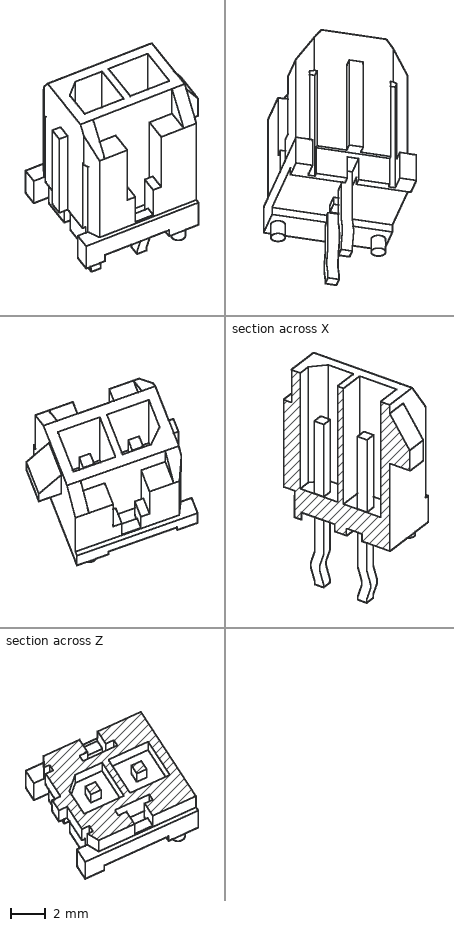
import cadquery as cq


shroud_top = 9.88
shroud_width = 6.64
shroud_depth = 6.86
top_width = 3.87
shoulder_z = 7.9
corner_x = 2.34
corner_depth = 0.49

base_height = 1.78
base_width = 7.15
foot_overhang = 0.54
foot_depth = 0.71
rear_foot_depth = 1.95
standoff = 0.49
front_setback = 0.21
tab_size = 0.84

rib_width = 0.84
rib_top = 7.68
slot_inner_x = 2.19
slot_outer_x = 2.59
slot_top = 6.99
slot_depth = 0.49

pitch = 3.0
pin_width = 0.67
leg_thickness = 0.63
leg_length = 4.04
pin_top = 6.96
pin_slot_top = 1.46
bend_start_z = -1.84
bend_height = 1.96
bulge = 0.28
bulge_arc_height = 0.5
arc_start_shift = 0.24

cavity_size = 2.58
cavity_floor = 2.09
key_chamfer = 0.82

shoulder_end = 0.84
pocket_width = 2.23
pocket_floor = 3.91
groove_width = 1.17
groove_ledge_z = 1.92
groove_floor = 1.46
groove_deep_x = 2.71
channel_outer_x = 2.32

latch_width = 2.06
latch_reach = 1.39
latch_bottom = 5.9
latch_nose_z = 7.3
latch_top = 9.3

peg_radius = 0.42
peg_x = 2.98
peg_y = 5.86
peg_length = 0.88

mid_y = shroud_depth / 2
pin_ys = (mid_y - pitch / 2, mid_y + pitch / 2)


def block(x, y, z):
    """Box given by its (min, max) range along each axis."""
    size = [limit[1] - limit[0] for limit in (x, y, z)]
    return cq.Workplane("XY").box(*size, centered=False).translate((x[0], y[0], z[0]))


def both_sides(part):
    """The part together with its mirror image across X = 0."""
    return part.union(part.mirror("YZ"))


def centred(middle, width):
    """Range of the given width about its middle."""
    return (middle - width / 2, middle + width / 2)


def make_shroud():
    half = shroud_width / 2
    plan = (
        cq.Workplane("XY")
        .polyline([
            (-half, shroud_depth),
            (-half, corner_depth),
            (-corner_x, 0),
            (corner_x, 0),
            (half, corner_depth),
            (half, shroud_depth),
        ])
        .close()
        .extrude(shroud_top)
    )
    profile = (
        cq.Workplane("XZ")
        .polyline([
            (-half, base_height),
            (-half, shoulder_z),
            (-top_width / 2, shroud_top),
            (top_width / 2, shroud_top),
            (half, shoulder_z),
            (half, base_height),
        ])
        .close()
        .extrude(-shroud_depth)
    )
    return plan.intersect(profile)


def make_base():
    half = base_width / 2
    plate = block((-half, half), (-foot_overhang, shroud_depth), (0, base_height))
    front_gap = block(
        (-slot_outer_x, slot_outer_x), (-foot_overhang, front_setback), (0, base_height)
    )
    clearance = block((-half, half), (foot_depth, shroud_depth - rear_foot_depth), (0, standoff))
    tab = block(centred(0, tab_size), centred(mid_y, tab_size), (0, standoff))
    return plate.cut(front_gap).cut(clearance).union(tab)


def make_rib():
    return block(centred(0, rib_width), (-foot_overhang, front_setback), (base_height, rib_top))


def make_front_slots():
    return both_sides(block((slot_inner_x, slot_outer_x), (-foot_overhang, slot_depth), (0, slot_top)))


def make_side_pockets():
    wall_x = top_width / 2
    outer_x = shroud_width / 2
    shoulder_gap = block(
        (wall_x, outer_x), (shoulder_end, shroud_depth - shoulder_end), (shoulder_z, shroud_top)
    )
    pocket_y = centred(mid_y, pocket_width)
    groove_y = centred(mid_y, groove_width)
    pocket = block((wall_x, outer_x), pocket_y, (pocket_floor, shoulder_z))
    channel = block((wall_x, channel_outer_x), pocket_y, (groove_floor, pocket_floor))
    groove = block((wall_x, outer_x), groove_y, (groove_ledge_z, pocket_floor))
    groove_bottom = block((wall_x, groove_deep_x), groove_y, (groove_floor, groove_ledge_z))
    return both_sides(shoulder_gap.union(pocket).union(channel).union(groove).union(groove_bottom))


def make_cavities():
    depth = (cavity_floor, shroud_top)
    front = block(centred(0, cavity_size), centred(pin_ys[0], cavity_size), depth)
    rear = block(centred(0, cavity_size), centred(pin_ys[1], cavity_size), depth)
    keyed = front.edges("|Z and <X and <Y").chamfer(key_chamfer)
    return keyed.union(rear)


def make_latch():
    back = shroud_depth
    return (
        cq.Workplane("YZ")
        .polyline([
            (back, latch_bottom),
            (back + latch_reach, latch_bottom),
            (back + latch_reach, latch_nose_z),
            (back, latch_top),
        ])
        .close()
        .extrude(latch_width / 2, both=True)
    )


def make_pegs():
    peg = cq.Workplane("XY").center(peg_x, peg_y).circle(peg_radius).extrude(-peg_length)
    return both_sides(peg)


def make_contact(y, outward):
    """Square pin with a kinked solder leg; outward is the Y sign of the kink."""
    bend_mid_z = bend_start_z - bend_height / 2
    arc_top = bend_mid_z + bulge_arc_height / 2
    arc_bottom = bend_mid_z - bulge_arc_height / 2
    bend_end_z = bend_start_z - bend_height
    inner = -leg_thickness / 2
    outer = leg_thickness / 2
    leg = (
        cq.Workplane("YZ")
        .moveTo(inner, cavity_floor)
        .lineTo(inner, bend_start_z)
        .lineTo(inner + arc_start_shift, arc_top)
        .threePointArc((inner + bulge, bend_mid_z), (inner + arc_start_shift, arc_bottom))
        .lineTo(inner, bend_end_z)
        .lineTo(inner, -leg_length)
        .lineTo(outer, -leg_length)
        .lineTo(outer, bend_end_z)
        .lineTo(outer + arc_start_shift, arc_bottom)
        .threePointArc((outer + bulge, bend_mid_z), (outer + arc_start_shift, arc_top))
        .lineTo(outer, bend_start_z)
        .lineTo(outer, cavity_floor)
        .close()
        .extrude(pin_width / 2, both=True)
    )
    if outward < 0:
        leg = leg.mirror("XZ")
    leg = leg.translate((0, y, 0))
    pin = block(centred(0, pin_width), centred(y, pin_width), (cavity_floor, pin_top))
    return leg.union(pin)


def make_pin_slot():
    """Opening in the base front that leaves the front contact visible."""
    return block(centred(0, pin_width), (-foot_overhang, pin_ys[0]), (0, pin_slot_top))


housing = make_shroud().union(make_base()).union(make_rib()).union(make_latch()).union(make_pegs())
housing = housing.cut(make_front_slots()).cut(make_side_pockets())
housing = housing.cut(make_cavities()).cut(make_pin_slot())

result = housing.union(make_contact(pin_ys[0], -1)).union(make_contact(pin_ys[1], 1))